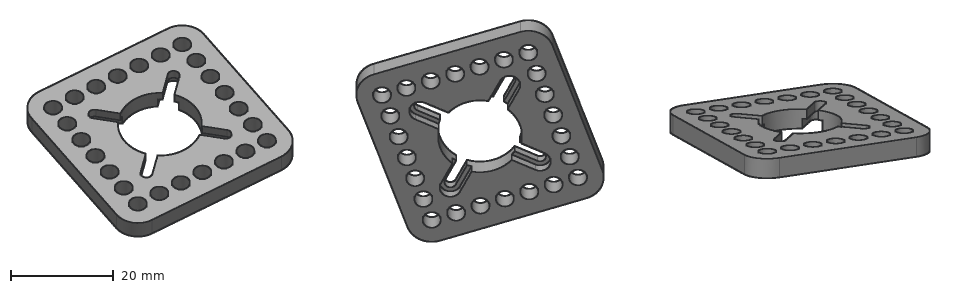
import cadquery as cq

side = 40.0
thickness = 4.0
corner_radius = 5.0

hole_diameter = 3.5
hole_pitch = 5.0
holes_per_side = 7

bore_diameter = 16.3
slot_width = 2.3
slot_end_radius = 13.0
slot_angles = (45, 135)

recess_width = 4.15
recess_depth = thickness / 2


def make_plate():
    plate = cq.Workplane("XY").box(side, side, thickness, centered=(True, True, False))
    return plate.edges("|Z").fillet(corner_radius)


def perimeter_points():
    """Grid positions on the outer ring only."""
    last = holes_per_side - 1
    offset = last * hole_pitch / 2
    return [
        (column * hole_pitch - offset, row * hole_pitch - offset)
        for column in range(holes_per_side)
        for row in range(holes_per_side)
        if column in (0, last) or row in (0, last)
    ]


def cut_perimeter_holes(body):
    holes = cq.Workplane("XY").pushPoints(perimeter_points()).circle(hole_diameter / 2)
    return body.cut(holes.extrude(thickness))


def make_diagonal_slots(width, height):
    """Crossed round-ended bars through the center, rising from the underside."""
    length = 2 * slot_end_radius + width
    slots = cq.Workplane("XY")
    for angle in slot_angles:
        slots = slots.union(cq.Workplane("XY").slot2D(length, width, angle).extrude(height))
    return slots


def cut_central_opening(body):
    bore = cq.Workplane("XY").circle(bore_diameter / 2).extrude(thickness)
    slots = make_diagonal_slots(slot_width, thickness)
    recesses = make_diagonal_slots(recess_width, recess_depth)
    return body.cut(bore).cut(slots).cut(recesses)


plate = make_plate()
drilled_plate = cut_perimeter_holes(plate)
result = cut_central_opening(drilled_plate)